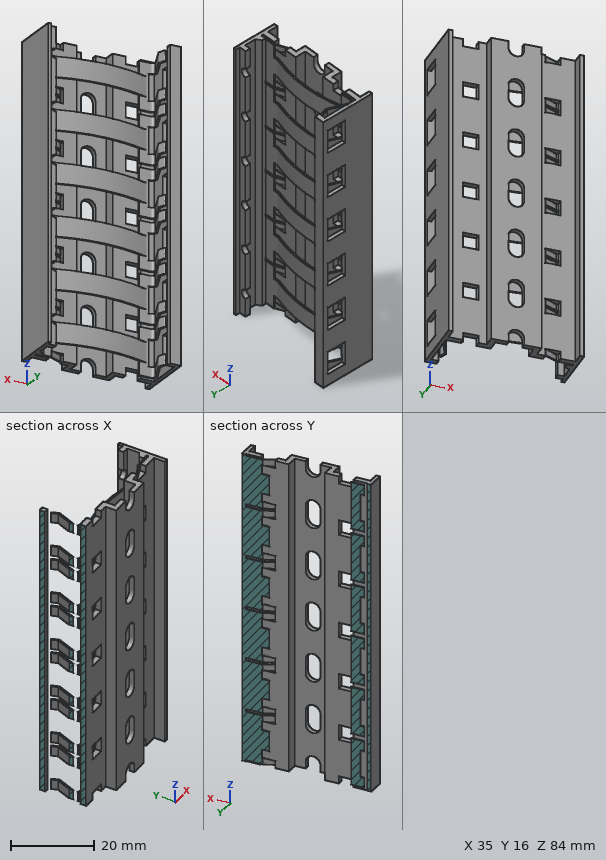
import cadquery as cq

LENGTH = 84.0
WIDTH = 35.0
HEIGHT = 16.0
PITCH = 14.0
BAYS = round(LENGTH / PITCH)
CUT = 10.0

LEFT = -WIDTH / 2
RIGHT = WIDTH / 2
SIDE_WALL = 1.1
LIP_REACH = 3.0
LIP_THICKNESS = 1.5
FLOOR_BOTTOM = 3.0
FLOOR_TOP = 4.6
CHANNEL_WIDTH = 13.0
CHANNEL_WALL = 1.6
CHANNEL_FLOOR = 1.4

RIGHT_TOP = HEIGHT - 2.7
RIGHT_TIP_WALL = 0.8
HOOK_REACH = 2.8
HOOK_TOP = HEIGHT - 4.0
HOOK_THICKNESS = 1.5
RIB_REACH = 2.5
RIB_TOP = 7.2
RIB_SHOULDER = 6.3
NOTCH_RADIUS = 1.35

SQUARE_SIDE = 4.0
SQUARE_OFFSET = 10.6
SLOT_LENGTH = 7.6
SLOT_WIDTH = 4.0
WINDOW_LENGTH = 7.0
WINDOW_HEIGHT = 5.6

STRIP = 0.5
STRIP_Y = FLOOR_TOP + STRIP / 2
LEG_INSET = 0.6
LEG_WIDTH = 2.8
LEG_BEND = (-13.9, 11.7)
LEG_TIP = (-14.45, 13.3)
LEG_ROOT_RADIUS = 1.2
LEFT_FOOT_START = -14.6
LEFT_FOOT_END = -12.0
ARCH_WIDTH = 5.4
ARCH_START = -13.8
ARCH_END = 10.8
ARCH_RISE = 1.9
RIGHT_FOOT_START = 12.1
RIGHT_FOOT_INSET = 0.3
TONGUE_TIP = (8.8, 3.2)
TONGUE_THICKNESS = 0.35
TONGUE_WIDTH = 1.7


def box(x0, x1, y0, y1, z0, z1):
    """Box between two opposite corners."""
    return cq.Workplane("XY").box(x1 - x0, y1 - y0, z1 - z0, centered=False).translate((x0, y0, z0))


def rail_body():
    """Closed rail section extruded over the full length, without openings."""
    left_inner = LEFT + SIDE_WALL
    right_inner = RIGHT - SIDE_WALL
    outer = CHANNEL_WIDTH / 2
    inner = outer - CHANNEL_WALL
    hook_bottom = HOOK_TOP - HOOK_THICKNESS
    groove_top = FLOOR_TOP + STRIP
    outline = [
        (LEFT, 0),
        (left_inner, 0),
        (left_inner, FLOOR_BOTTOM),
        (-outer, FLOOR_BOTTOM),
        (-outer, 0),
        (outer, 0),
        (outer, FLOOR_BOTTOM),
        (right_inner, FLOOR_BOTTOM),
        (right_inner, 0),
        (RIGHT, 0),
        (RIGHT, RIGHT_TOP),
        (RIGHT - RIGHT_TIP_WALL, RIGHT_TOP),
        (RIGHT - RIGHT_TIP_WALL, HOOK_TOP),
        (RIGHT - HOOK_REACH, HOOK_TOP),
        (RIGHT - HOOK_REACH, hook_bottom),
        (right_inner, hook_bottom),
        (right_inner, RIB_TOP),
        (RIGHT - RIB_REACH, RIB_SHOULDER),
        (RIGHT - RIB_REACH, groove_top),
        (right_inner, groove_top),
        (right_inner, FLOOR_TOP),
        (inner, FLOOR_TOP),
        (inner, CHANNEL_FLOOR),
        (-inner, CHANNEL_FLOOR),
        (-inner, FLOOR_TOP),
        (left_inner, FLOOR_TOP),
        (left_inner, HEIGHT - LIP_THICKNESS),
        (LEFT + LIP_REACH, HEIGHT - LIP_THICKNESS),
        (LEFT + LIP_REACH, HEIGHT),
        (LEFT, HEIGHT),
    ]
    return cq.Workplane("XY").polyline(outline).close().extrude(LENGTH)


def floor_openings():
    """Centre slots and side squares on each bay boundary; half ones at both ends."""
    levels = [(0, PITCH * i) for i in range(BAYS + 1)]
    plane = cq.Workplane("XZ", origin=(0, CUT, 0))
    cutters = plane.pushPoints(levels).slot2D(SLOT_LENGTH, SLOT_WIDTH, 90).extrude(2 * CUT)
    for side in (-1, 1):
        places = [(side * SQUARE_OFFSET, z) for _, z in levels]
        cutters = cutters.union(plane.pushPoints(places).rect(SQUARE_SIDE, SQUARE_SIDE).extrude(2 * CUT))
    return cutters


def bay_openings(middle):
    """Window in the left wall and round notch in the hook at the middle of a bay."""
    top = HEIGHT - LIP_THICKNESS
    half = WINDOW_LENGTH / 2
    window = box(LEFT, LEFT + SIDE_WALL, top - WINDOW_HEIGHT, top, middle - half, middle + half)
    notch = (
        cq.Workplane("XZ", origin=(RIGHT - HOOK_REACH, HOOK_TOP, middle))
        .circle(NOTCH_RADIUS)
        .extrude(HOOK_THICKNESS)
    )
    return window.union(notch)


def spring_leg():
    """Left leg: a root bend from the floor up the wall, then a cranked arm."""
    wall_x = LEFT + SIDE_WALL + STRIP / 2
    bend_start = wall_x + LEG_ROOT_RADIUS
    return (
        cq.Workplane("XY")
        .moveTo(LEFT_FOOT_END - STRIP / 2, STRIP_Y)
        .lineTo(bend_start, STRIP_Y)
        .tangentArcPoint((wall_x, STRIP_Y + LEG_ROOT_RADIUS), relative=False)
        .lineTo(*LEG_BEND)
        .lineTo(*LEG_TIP)
        .offset2D(STRIP / 2)
        .extrude(LEG_WIDTH)
    )


def spring_arch():
    """Bowed strip over the channel, running flat into the right foot."""
    middle = (ARCH_START + ARCH_END) / 2
    crown = FLOOR_TOP + ARCH_RISE
    strip_top = FLOOR_TOP + STRIP
    return (
        cq.Workplane("XY")
        .moveTo(ARCH_START, FLOOR_TOP)
        .threePointArc((middle, crown), (ARCH_END, FLOOR_TOP))
        .lineTo(RIGHT_FOOT_START, FLOOR_TOP)
        .lineTo(RIGHT_FOOT_START, strip_top)
        .lineTo(ARCH_END, strip_top)
        .threePointArc((middle, crown + STRIP), (ARCH_START, strip_top))
        .close()
        .extrude(ARCH_WIDTH)
    )


def spring_tongue():
    """Tongue bent down from the right foot into a square opening."""
    tip_x, tip_y = TONGUE_TIP
    outline = [
        (RIGHT_FOOT_START, FLOOR_TOP),
        (RIGHT_FOOT_START, FLOOR_TOP + TONGUE_THICKNESS),
        (tip_x, tip_y + TONGUE_THICKNESS),
        (tip_x, tip_y),
    ]
    return cq.Workplane("XY").polyline(outline).close().extrude(TONGUE_WIDTH)


def spring_foot(start_x, end_x, inset):
    """Flat foot on the floor, stopping short of both ends of the bay."""
    return box(start_x, end_x, FLOOR_TOP, FLOOR_TOP + STRIP, inset, PITCH - inset)


def spring_clip():
    """Clip for the first bay, between Z = 0 and Z = PITCH."""
    clip = spring_foot(RIGHT_FOOT_START, RIGHT - SIDE_WALL, RIGHT_FOOT_INSET)
    clip = clip.union(spring_arch().translate((0, 0, (PITCH - ARCH_WIDTH) / 2)))
    clip = clip.union(spring_foot(LEFT_FOOT_START, LEFT_FOOT_END, LEG_INSET))
    for start in (LEG_INSET, PITCH - LEG_INSET - LEG_WIDTH):
        clip = clip.union(spring_leg().translate((0, 0, start)))
    for start in (RIGHT_FOOT_INSET, PITCH - RIGHT_FOOT_INSET - TONGUE_WIDTH):
        clip = clip.union(spring_tongue().translate((0, 0, start)))
    return clip


result = rail_body().cut(floor_openings())
clip = spring_clip()
for bay in range(BAYS):
    base = PITCH * bay
    result = result.cut(bay_openings(base + PITCH / 2))
    result = result.union(clip.translate((0, 0, base)))